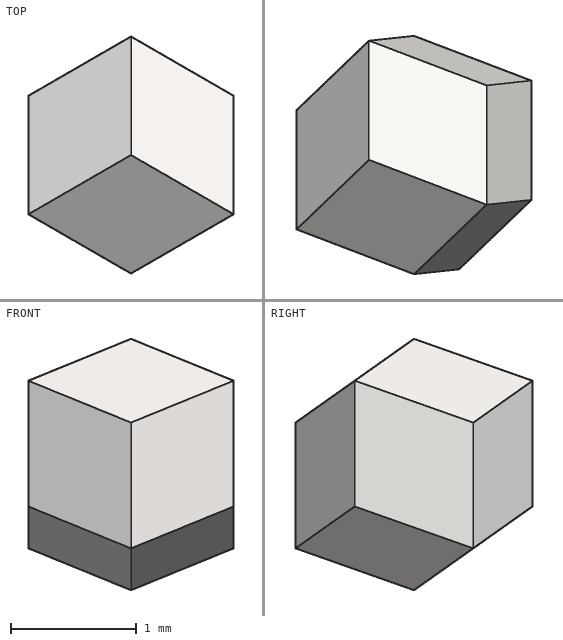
import cadquery as cq
import math

EDGE_LENGTH = 1.0

SLOPE_DROP = EDGE_LENGTH / 3
SLOPE_REACH = math.sqrt(EDGE_LENGTH**2 - SLOPE_DROP**2)
SLOPE_ANGLES = (90, 210, 330)


def sloping_edge(angle):
    """Edge vector that runs outward at the given angle in degrees about Z and drops in Z."""
    turn = math.radians(angle)
    return cq.Vector(SLOPE_REACH * math.cos(turn), SLOPE_REACH * math.sin(turn), -SLOPE_DROP)


def rhombus(center, first, second):
    """Flat face around center with sides parallel and equal to the two edge vectors."""
    half_sum = (first + second) / 2
    half_difference = (first - second) / 2
    corners = [
        center + half_sum,
        center + half_difference,
        center - half_sum,
        center - half_difference,
    ]
    return cq.Face.makeFromWires(cq.Wire.makePolygon(corners, close=True))


def opposite_faces(first, second, others):
    """The two parallel rhombi spanned by one pair of edges."""
    normal = first.cross(second)
    center = cq.Vector(0, 0, 0)
    for edge in others:
        center += edge / 2 if normal.dot(edge) > 0 else edge / -2
    return [rhombus(center, first, second), rhombus(-center, first, second)]


def rhombic_dodecahedron():
    """Close the six pairs of opposite faces into a solid."""
    edges = [cq.Vector(0, 0, EDGE_LENGTH)]
    edges += [sloping_edge(angle) for angle in SLOPE_ANGLES]
    faces = []
    for i, first in enumerate(edges):
        for j in range(i + 1, len(edges)):
            others = [edge for k, edge in enumerate(edges) if k not in (i, j)]
            faces += opposite_faces(first, edges[j], others)
    return cq.Solid.makeSolid(cq.Shell.makeShell(faces))


result = cq.Workplane("XY").newObject([rhombic_dodecahedron()])